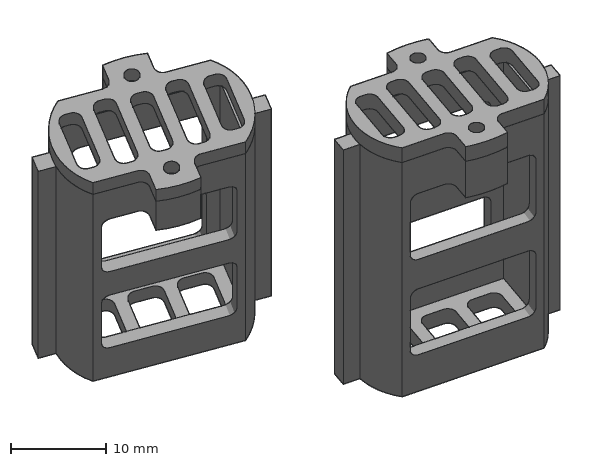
import cadquery as cq

total_height = 34.0
overall_width = 17.95
overall_depth = 25.87

body_width = 11.5
body_depth = 22.03
flat_depth = 16.93
ear_width = 5.0
ear_bulge = 0.25
ear_root_radius = 1.0

lid_thickness = 2.0
screw_hole_diameter = 1.7
screw_hole_spacing = 13.0
slot_width = 2.5
slot_pitch = 4.0
slot_corner_radius = 1.0
middle_slot_length = 8.05
inner_slot_length = 8.77
outer_slot_length = 7.58

housing_height = total_height - lid_thickness
wall_thickness = 1.5
cavity_width = body_width - 2 * wall_thickness
cavity_depth = 18.02
floor_thickness = 2.0
rail_width = 2.0

floor_opening_length = 5.5
floor_opening_width = 4.0
floor_opening_pitch = 5.5
floor_opening_radius = 1.0

window_width = 15.0
window_height = 9.0
window_sill = 5.0
window_gap = 4.0
window_corner_radius = 1.0
window_count = 2

windows_top = window_sill + window_count * window_height + (window_count - 1) * window_gap
ear_height = housing_height - windows_top


def rounded_block(length, width, height, corner_radius):
    """Upright block on Z = 0 with its four vertical edges rounded."""
    return (
        cq.Workplane("XY")
        .box(length, width, height, centered=(True, True, False))
        .edges("|Z")
        .fillet(corner_radius)
    )


def main_prism(height):
    """Flat-sided prism with a rounded end at each end of Y."""
    x = body_width / 2
    y = flat_depth / 2
    crown = body_depth / 2
    return (
        cq.Workplane("XY")
        .moveTo(x, -y)
        .lineTo(x, y)
        .threePointArc((0, crown), (-x, y))
        .lineTo(-x, -y)
        .threePointArc((0, -crown), (x, -y))
        .close()
        .extrude(height)
    )


def ear(side, height):
    """Screw ear on the +X (side = 1) or -X (side = -1) wall, with filleted roots."""
    wall = side * body_width / 2
    root = wall + side * ear_root_radius
    tip = side * overall_width / 2
    corner = tip - side * ear_bulge
    y = ear_width / 2
    tangent = (wall, y + ear_root_radius)
    profile = (
        cq.Workplane("XY")
        .moveTo(0, -tangent[1])
        .lineTo(wall, -tangent[1])
        .radiusArc((root, -y), side * ear_root_radius)
        .lineTo(corner, -y)
        .threePointArc((tip, 0), (corner, y))
        .lineTo(root, y)
        .radiusArc(tangent, side * ear_root_radius)
        .lineTo(0, tangent[1])
        .close()
    )
    return profile.extrude(height)


def eared_prism(height, ears_height):
    """Main prism with both ears flush with its top."""
    prism = main_prism(height)
    for side in (-1, 1):
        prism = prism.union(ear(side, ears_height).translate((0, 0, height - ears_height)))
    return prism


def make_lid():
    lid = eared_prism(lid_thickness, lid_thickness)

    slot_lengths = [outer_slot_length, inner_slot_length, middle_slot_length,
                    inner_slot_length, outer_slot_length]
    middle = len(slot_lengths) // 2
    for index, length in enumerate(slot_lengths):
        slot = rounded_block(length, slot_width, lid_thickness, slot_corner_radius)
        lid = lid.cut(slot.translate((0, (index - middle) * slot_pitch, 0)))

    screw_holes = (
        cq.Workplane("XY")
        .rarray(screw_hole_spacing, 0.35, 2, 1)
        .circle(screw_hole_diameter / 2)
        .extrude(lid_thickness)
    )
    return lid.cut(screw_holes).translate((0, 0, housing_height))


def make_housing():
    housing = eared_prism(housing_height, ear_height)

    rails = cq.Workplane("XY").box(
        rail_width, overall_depth, housing_height, centered=(True, True, False)
    )
    housing = housing.union(rails)

    cavity = cq.Workplane("XY", origin=(0, 0, floor_thickness)).box(
        cavity_width, cavity_depth, housing_height - floor_thickness, centered=(True, True, False)
    )
    housing = housing.cut(cavity)

    for row in (-1, 0, 1):
        opening = rounded_block(
            floor_opening_length, floor_opening_width, floor_thickness, floor_opening_radius
        )
        housing = housing.cut(opening.translate((0, row * floor_opening_pitch, 0)))

    for level in range(window_count):
        window_middle = window_sill + window_height / 2 + level * (window_height + window_gap)
        window = (
            cq.Workplane("XY")
            .box(body_width, window_width, window_height)
            .edges("|X")
            .fillet(window_corner_radius)
            .translate((0, 0, window_middle))
        )
        housing = housing.cut(window)
    return housing


housing = make_housing()
lid = make_lid()

result = cq.Compound.makeCompound([housing.solids().val(), lid.solids().val()])